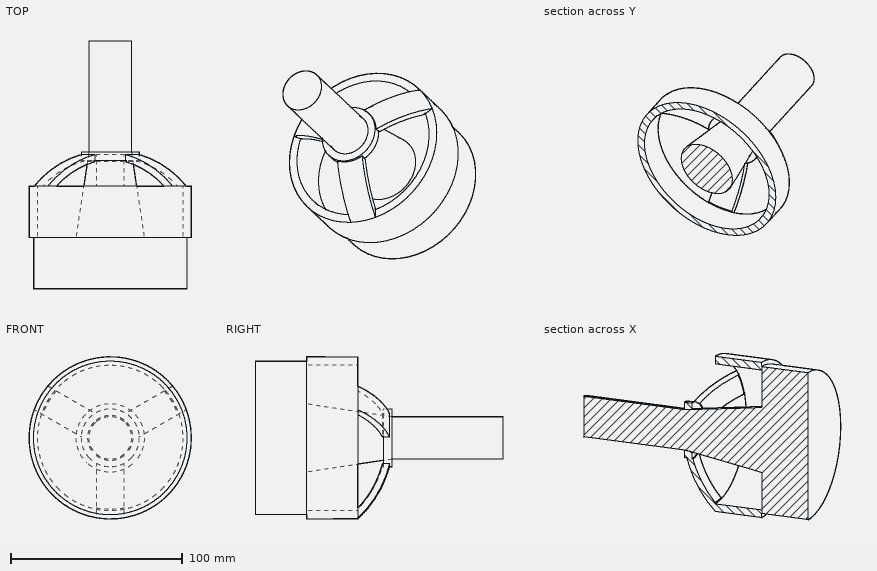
import cadquery as cq
import math

drum_length = 30.0
ring_length = 30.0
ring_front = drum_length
ring_back = ring_front + ring_length
collar_back = ring_back + 20.0
collar_length = 5.1
collar_front = collar_back - collar_length
shaft_end = 145.0

drum_radius = 45.0
cone_base_radius = 20.0
shaft_radius = 12.5

ring_diameter = 95.0
ring_radius = ring_diameter / 2
ring_wall = 5.0
collar_radius = 17.0
spoke_count = 3
spoke_width = 16.0
spoke_thickness = 4.0
dome_center = 16.2
dome_radius = math.hypot(ring_radius, ring_back - dome_center)


def cylinder(radius, start, end):
    """Solid cylinder on the Y axis from start to end."""
    plane = cq.Workplane("XZ", origin=(0, start, 0))
    return plane.circle(radius).extrude(start - end)


def tube(outer_radius, inner_radius, start, end):
    """Hollow cylinder on the Y axis from start to end."""
    return cylinder(outer_radius, start, end).cut(cylinder(inner_radius, start, end))


def make_rotor():
    """Drum, tapered hub and shaft turned as one piece."""
    return (
        cq.Workplane("XY")
        .moveTo(0, 0)
        .lineTo(drum_radius, 0)
        .lineTo(drum_radius, drum_length)
        .lineTo(cone_base_radius, drum_length)
        .lineTo(shaft_radius, collar_back)
        .lineTo(shaft_radius, shaft_end)
        .lineTo(0, shaft_end)
        .close()
        .revolve(360, (0, 0, 0), (0, 1, 0))
    )


def make_spokes():
    """Parallel-sided strips of a spherical shell, running from the collar to the ring."""
    dome = cq.Workplane("XY").sphere(dome_radius)
    dome = dome.cut(cq.Workplane("XY").sphere(dome_radius - spoke_thickness))
    dome = dome.translate((0, dome_center, 0))
    envelope = tube(ring_radius, collar_radius, ring_back, collar_back)
    shell = dome.intersect(envelope)
    downward_strip = cq.Workplane("XY").box(
        spoke_width, shaft_end, ring_radius, centered=(True, False, False)
    ).translate((0, 0, -ring_radius))
    spoke = shell.intersect(downward_strip)
    spokes = []
    for index in range(spoke_count):
        angle = index * 360 / spoke_count
        spokes.append(spoke.rotate((0, 0, 0), (0, 1, 0), angle))
    return spokes


def make_guard(rotor):
    """Ring and collar joined by spokes, with the collar bored to fit the rotor."""
    guard = tube(ring_radius, ring_radius - ring_wall, ring_front, ring_back)
    guard = guard.union(cylinder(collar_radius, collar_front, collar_back))
    for spoke in make_spokes():
        guard = guard.union(spoke)
    return guard.cut(rotor)


rotor = make_rotor()
guard = make_guard(rotor)

result = cq.Compound.makeCompound([rotor.val(), guard.val()])